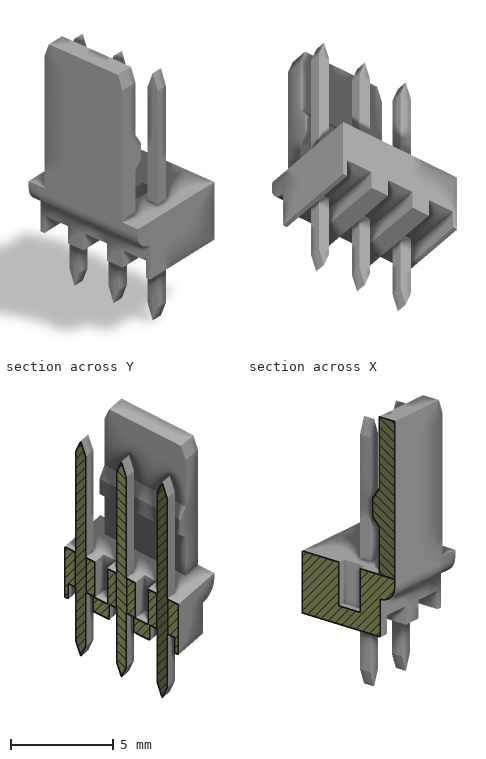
import cadquery as cq


pin_count = 3
pitch = 2.5
pin_side = 0.63
pin_top = 14.22
pin_tip_length = 0.88
pin_y = -0.29

housing_width = 7.0
housing_depth = 5.8
housing_height = 3.32
housing_bottom = 3.4
housing_top = housing_bottom + housing_height
front_y = -housing_depth / 2
back_y = housing_depth / 2

ledge_reach = 0.9
ledge_straight = 0.41

slot_width = 1.5
slot_height = 1.0

pocket_width = 0.75
pocket_depth_y = 1.3
pocket_y = -0.06
pocket_floor = housing_bottom + slot_height

tab_width = 5.0
tab_top = 15.1
tab_thickness = 1.0
tab_chamfer_width = 0.29
tab_chamfer_height = 0.79

bump_reach = 0.41
bump_start = 2.5
bump_flat_start = 2.95
bump_flat_end = 3.94
bump_end = 4.56


def row_positions(count):
    """X positions of a centred row at the pin pitch."""
    return [(i - (count - 1) / 2) * pitch for i in range(count)]


pin_positions = row_positions(pin_count)
pocket_positions = row_positions(pin_count - 1)


def extrude_along_x(sketch, width):
    """Extrude a YZ outline symmetrically about X = 0."""
    return sketch.extrude(width / 2, both=True)


def make_pin(x):
    """Square pin whose two ends taper to a ridge along Y."""
    half = pin_side / 2
    outline = [
        (x, 0),
        (x + half, pin_tip_length),
        (x + half, pin_top - pin_tip_length),
        (x, pin_top),
        (x - half, pin_top - pin_tip_length),
        (x - half, pin_tip_length),
    ]
    plane = cq.Workplane("XZ", origin=(0, pin_y, 0))
    return plane.polyline(outline).close().extrude(half, both=True)


def make_housing_block():
    """Housing block with a quarter-round ledge along its front."""
    foot_y = front_y + ledge_reach
    curve_top = housing_top - ledge_straight
    curve_bottom = curve_top - ledge_reach
    sketch = (
        cq.Workplane("YZ")
        .moveTo(back_y, housing_bottom)
        .lineTo(back_y, housing_top)
        .lineTo(front_y, housing_top)
        .lineTo(front_y, curve_top)
        .radiusArc((foot_y, curve_bottom), -ledge_reach)
        .lineTo(foot_y, housing_bottom)
        .close()
    )
    return extrude_along_x(sketch, housing_width)


def make_slot(x):
    """Cutter for a slot running through the underside from front to back."""
    slot = cq.Workplane("XY").box(slot_width, housing_depth, slot_height, centered=(True, True, False))
    return slot.translate((x, 0, housing_bottom))


def make_pocket(x):
    """Cutter for a blind pocket open at the housing top."""
    depth = housing_top - pocket_floor
    pocket = cq.Workplane("XY").box(pocket_width, pocket_depth_y, depth, centered=(True, True, False))
    return pocket.translate((x, pocket_y, pocket_floor))


def make_housing(pin_bodies):
    """Housing with slots, pockets and a matching hole for each pin."""
    body = make_housing_block()
    for x in pin_positions:
        body = body.cut(make_slot(x))
    for x in pocket_positions:
        body = body.cut(make_pocket(x))
    for pin in pin_bodies:
        body = body.cut(pin)
    return body


def make_locking_tab():
    """Upright tab on the housing top, with chamfered corners and a latch bump."""
    tab_back = front_y + tab_thickness
    bump_y = tab_back + bump_reach
    profile = [
        (front_y, housing_top),
        (tab_back, housing_top),
        (tab_back, housing_top + bump_start),
        (bump_y, housing_top + bump_flat_start),
        (bump_y, housing_top + bump_flat_end),
        (tab_back, housing_top + bump_end),
        (tab_back, tab_top),
        (front_y, tab_top),
    ]
    tab = extrude_along_x(cq.Workplane("YZ").polyline(profile).close(), tab_width)
    half = tab_width / 2
    for side in (-1, 1):
        corner = [
            (side * half, tab_top),
            (side * (half - tab_chamfer_width), tab_top),
            (side * half, tab_top - tab_chamfer_height),
        ]
        cutter = cq.Workplane("XZ").polyline(corner).close().extrude(housing_depth, both=True)
        tab = tab.cut(cutter)
    return tab


pins = [make_pin(x) for x in pin_positions]
housing = make_housing(pins)
locking_tab = make_locking_tab()

bodies = [housing, locking_tab, *pins]
result = cq.Compound.makeCompound([body.solids().val() for body in bodies])